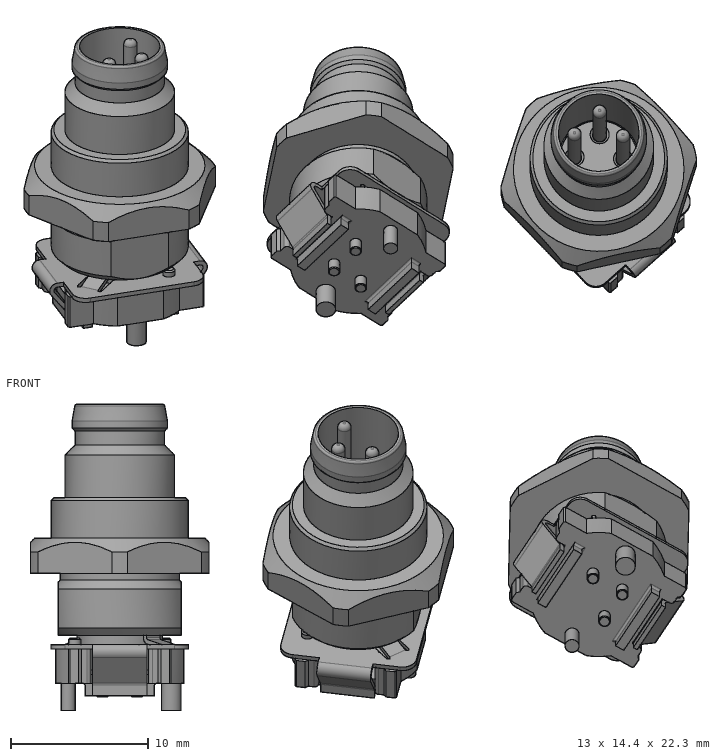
import cadquery as cq
import math

TOTAL_HEIGHT = 22.3
CLEAR = 0.22

RIM_RADIUS = 3.25
RIM_FILLET = 0.18
BARB_RADIUS = 3.48
BARB_TOP_Z = 21.07
BARB_BOTTOM_Z = 20.55
GROOVE_TOP_Z = 20.34
GROOVE_BOTTOM_Z = 19.33
BARREL_RADIUS = 4.0
COLLAR_RADIUS = 5.0
COLLAR_TOP_Z = 15.5
COLLAR_CHAMFER = 0.2
HEX_TOP_Z = 12.55
HEX_BOTTOM_Z = 10.0
HEX_ACROSS_FLATS = 13.0
HEX_CORNER_RADIUS = 7.2
HEX_TOP_RADIUS = 6.2
NECK_RADIUS = 4.35
NECK_BOTTOM_Z = 9.5
TAIL_RADIUS = 5.0
TAIL_CHAMFER_TOP_Z = 6.02
TAIL_BOTTOM_Z = 5.49
TAIL_ACROSS_FLATS = 8.96

SOCKET_RADIUS = 2.92
CARRIER_RADIUS = 3.12
CARRIER_SHOULDER_Z = 13.38
SOCKET_FLOOR_Z = 15.6
FLOOR_CHAMFER = 0.11
TONGUE_BORE_RADIUS = 3.61
TONGUE_BORE_TOP_Z = 6.7

PIN_OFFSET = 1.25
PIN_RADIUS = 0.5
PIN_TIP_Z = 22.05
PIN_TIP_FILLET = 0.4
PIN_SINK_RADIUS = 0.7
PIN_SINK_DEPTH = 0.2
PIN_SINK_LIP = 0.02
TAIL_PIN_RADIUS = 0.42
TAIL_PIN_BOTTOM_Z = 1.0
TAIL_PIN_CHAMFER = 0.07
POST_X = 3.75
SLIM_POST_RADIUS = 0.51
WIDE_POST_RADIUS = 0.71

BASE_BOTTOM_Z = 1.98
BASE_TOP_Z = 4.48
BASE_LENGTH = 10.44
BASE_END_WIDTH = 7.5
BASE_MID_WIDTH = 9.35
BASE_ROUND_RADIUS = 5.0
BASE_CORNER_CHAMFER = 0.11
RECESS_WIDTH = 5.58
RECESS_DEPTH = 0.2
POCKET_WIDTH = 4.2
POCKET_MOUTH_FILLET = 0.3
POCKET_BACK_Y = 4.13
RAMP_START_Z = 2.63
RAMP_DEPTH = 0.9
RAMP_ANGLE = 20.0
FOOT_WIDTH = 5.05
FOOT_INNER_Y = 2.97
FOOT_OUTER_Y = 3.65
FOOT_BOTTOM_Z = 1.07
FOOT_ROOT_FILLET = 0.18
NUB_X = 3.28
NUB_Y = 2.65
NUB_RADIUS = 0.45
NUB_TOP_Z = 5.29
NUB_CHAMFER = 0.11

SHEET = 0.33
PLATE_TOP_Z = BASE_TOP_Z + SHEET
PLATE_SIZE = 10.01
PLATE_CORNER_RADIUS = 1.03
ARM_WIDTH = 3.97
ARM_BEND_Y = 5.49
ARM_BEND_RADIUS = 0.58
ARM_SLOPE = 53.0
ARM_TIP_OUTER_Y = 4.48
ARM_TIP_Z = 1.12
ARM_KNEE_RADIUS = 0.27
TONGUE_WIDTH = 1.38
TONGUE_SLOT = 0.3
TONGUE_ROOT = 5.0
TONGUE_RISE = 0.38
TONGUE_TOP_Z = 6.47
TONGUE_BEND_RADIUS = 0.15
TONGUE_DIRECTIONS = (135.0, -45.0)


def cylinder(radius, bottom, top, x=0.0, y=0.0):
    return cq.Workplane("XY", origin=(x, y, bottom)).circle(radius).extrude(top - bottom)


def block(width, depth, bottom, top, y=0.0):
    return cq.Workplane("XY", origin=(0, y, bottom)).rect(width, depth).extrude(top - bottom)


def both_ends(shape):
    """The shape at the -Y end together with its twin at the +Y end."""
    return shape.union(shape.rotate((0, 0, 0), (0, 0, 1), 180))


def turned_outside():
    outline = [
        (0, NECK_BOTTOM_Z),
        (NECK_RADIUS, NECK_BOTTOM_Z),
        (NECK_RADIUS, HEX_BOTTOM_Z),
        (COLLAR_RADIUS, HEX_BOTTOM_Z),
        (COLLAR_RADIUS, COLLAR_TOP_Z - COLLAR_CHAMFER),
        (COLLAR_RADIUS - COLLAR_CHAMFER, COLLAR_TOP_Z),
        (BARREL_RADIUS, COLLAR_TOP_Z),
        (BARREL_RADIUS, GROOVE_BOTTOM_Z - (BARREL_RADIUS - RIM_RADIUS)),
        (RIM_RADIUS, GROOVE_BOTTOM_Z),
        (RIM_RADIUS, GROOVE_TOP_Z),
        (BARB_RADIUS, BARB_BOTTOM_Z),
        (BARB_RADIUS, BARB_TOP_Z),
        (RIM_RADIUS, TOTAL_HEIGHT),
        (0, TOTAL_HEIGHT),
    ]
    body = cq.Workplane("XZ").polyline(outline).close().revolve(360, (0, 0), (0, 1))
    return body.faces(">Z").edges().fillet(RIM_FILLET)


def hex_flange():
    across_corners = HEX_ACROSS_FLATS / math.cos(math.pi / 6)
    height = HEX_TOP_Z - HEX_BOTTOM_Z
    prism = cq.Workplane("XY", origin=(0, 0, HEX_BOTTOM_Z)).polygon(6, across_corners).extrude(height)
    prism = prism.rotate((0, 0, 0), (0, 0, 1), 30)
    turned = cylinder(HEX_CORNER_RADIUS, HEX_BOTTOM_Z, HEX_TOP_Z)
    turned = turned.faces(">Z").chamfer(HEX_CORNER_RADIUS - HEX_TOP_RADIUS)
    return prism.intersect(turned)


def flatted_tail():
    upper_chamfer = TAIL_RADIUS - NECK_RADIUS
    lower_chamfer = TAIL_CHAMFER_TOP_Z - TAIL_BOTTOM_Z
    tail = cylinder(TAIL_RADIUS, TAIL_BOTTOM_Z, NECK_BOTTOM_Z)
    tail = tail.faces(">Z").chamfer(upper_chamfer).faces("<Z").chamfer(lower_chamfer)
    return tail.intersect(block(TAIL_ACROSS_FLATS, 2 * TAIL_RADIUS, TAIL_BOTTOM_Z, NECK_BOTTOM_Z))


def make_housing():
    body = turned_outside().union(hex_flange()).union(flatted_tail())
    body = body.cut(cylinder(TONGUE_BORE_RADIUS, TAIL_BOTTOM_Z, TONGUE_BORE_TOP_Z))
    body = body.cut(cylinder(CARRIER_RADIUS, TAIL_BOTTOM_Z, CARRIER_SHOULDER_Z))
    return body.cut(cylinder(SOCKET_RADIUS, TAIL_BOTTOM_Z, TOTAL_HEIGHT))


def base_outline():
    ends = block(BASE_END_WIDTH, BASE_LENGTH, BASE_BOTTOM_Z, BASE_TOP_Z)
    ends = ends.edges("|Z").chamfer(BASE_CORNER_CHAMFER)
    middle = cylinder(BASE_ROUND_RADIUS, BASE_BOTTOM_Z, BASE_TOP_Z)
    middle = middle.intersect(block(BASE_MID_WIDTH, BASE_LENGTH, BASE_BOTTOM_Z, BASE_TOP_Z))
    return ends.union(middle)


def end_recess():
    """Shallow recess with 45 degree sides in the -Y end face."""
    face_y = -BASE_LENGTH / 2
    half = RECESS_WIDTH / 2
    outline = [
        (half, face_y + RECESS_DEPTH),
        (half + RECESS_DEPTH + CLEAR, face_y - CLEAR),
        (-half - RECESS_DEPTH - CLEAR, face_y - CLEAR),
        (-half, face_y + RECESS_DEPTH),
    ]
    sketch = cq.Workplane("XY", origin=(0, 0, BASE_BOTTOM_Z)).polyline(outline).close()
    return sketch.extrude(BASE_TOP_Z - BASE_BOTTOM_Z)


def arm_pocket():
    """Pocket behind the recess, open above and below, with a ramp over its back wall."""
    mouth_y = -BASE_LENGTH / 2 + RECESS_DEPTH
    ramp_back_y = -POCKET_BACK_Y + RAMP_DEPTH
    ramp_end_z = RAMP_START_Z + RAMP_DEPTH * math.tan(math.radians(RAMP_ANGLE))
    outline = [
        (mouth_y, BASE_BOTTOM_Z),
        (-POCKET_BACK_Y, BASE_BOTTOM_Z),
        (-POCKET_BACK_Y, RAMP_START_Z),
        (ramp_back_y, ramp_end_z),
        (ramp_back_y, BASE_TOP_Z),
        (mouth_y, BASE_TOP_Z),
    ]
    return cq.Workplane("YZ").polyline(outline).close().extrude(POCKET_WIDTH / 2, both=True)


def round_pocket_mouths(base):
    half = POCKET_WIDTH / 2
    mouth_y = BASE_LENGTH / 2 - RECESS_DEPTH
    for x in (-half, half):
        for y in (-mouth_y, mouth_y):
            middle = (x, y, (BASE_BOTTOM_Z + BASE_TOP_Z) / 2)
            base = base.edges("|Z").edges(cq.selectors.NearestToPointSelector(middle))
            base = base.fillet(POCKET_MOUTH_FILLET)
    return base


def add_feet(base):
    """Foot bar below each end, filleted at its root except along the outer side."""
    depth = FOOT_OUTER_Y - FOOT_INNER_Y
    middle_y = (FOOT_OUTER_Y + FOOT_INNER_Y) / 2
    base = base.union(both_ends(block(FOOT_WIDTH, depth, FOOT_BOTTOM_Z, BASE_BOTTOM_Z, -middle_y)))
    for side in (-1, 1):
        roots = (
            (-FOOT_WIDTH / 2, side * middle_y, BASE_BOTTOM_Z),
            (0, side * FOOT_INNER_Y, BASE_BOTTOM_Z),
            (FOOT_WIDTH / 2, side * middle_y, BASE_BOTTOM_Z),
        )
        edges = [base.edges(cq.selectors.NearestToPointSelector(point)).val() for point in roots]
        base = base.newObject(edges).fillet(FOOT_ROOT_FILLET)
    return base


def make_base():
    base = base_outline().cut(both_ends(end_recess())).cut(both_ends(arm_pocket()))
    return add_feet(round_pocket_mouths(base))


def contact_pin(x, y):
    pin = cylinder(PIN_RADIUS, SOCKET_FLOOR_Z - PIN_SINK_DEPTH, PIN_TIP_Z, x, y)
    return pin.faces(">Z").edges().fillet(PIN_TIP_FILLET)


def pin_countersink(x, y):
    sink = cylinder(PIN_SINK_RADIUS, SOCKET_FLOOR_Z - PIN_SINK_DEPTH, SOCKET_FLOOR_Z, x, y)
    return sink.faces("<Z").chamfer(PIN_SINK_DEPTH - PIN_SINK_LIP)


def tail_pin(x, y):
    pin = cylinder(TAIL_PIN_RADIUS, TAIL_PIN_BOTTOM_Z, BASE_BOTTOM_Z, x, y)
    return pin.faces("<Z").chamfer(TAIL_PIN_CHAMFER)


def nub():
    return cylinder(NUB_RADIUS, BASE_TOP_Z, NUB_TOP_Z, -NUB_X, -NUB_Y).faces(">Z").chamfer(NUB_CHAMFER)


def make_carrier():
    insert = cylinder(SOCKET_RADIUS, CARRIER_SHOULDER_Z, SOCKET_FLOOR_Z).faces(">Z").chamfer(FLOOR_CHAMFER)
    carrier = make_base().union(cylinder(CARRIER_RADIUS, BASE_TOP_Z, CARRIER_SHOULDER_Z)).union(insert)
    carrier = carrier.union(both_ends(nub()))
    for x, y in ((-PIN_OFFSET, PIN_OFFSET), (PIN_OFFSET, PIN_OFFSET), (PIN_OFFSET, -PIN_OFFSET)):
        carrier = carrier.cut(pin_countersink(x, y)).union(contact_pin(x, y)).union(tail_pin(x, y))
    carrier = carrier.union(cylinder(SLIM_POST_RADIUS, 0, BASE_BOTTOM_Z, -POST_X))
    return carrier.union(cylinder(WIDE_POST_RADIUS, 0, BASE_BOTTOM_Z, POST_X))


def flat_plate():
    plate = block(PLATE_SIZE, PLATE_SIZE, BASE_TOP_Z, PLATE_TOP_Z).edges("|Z").fillet(PLATE_CORNER_RADIUS)
    plate = plate.cut(cylinder(CARRIER_RADIUS, BASE_TOP_Z, PLATE_TOP_Z))
    return plate.cut(both_ends(cylinder(NUB_RADIUS, BASE_TOP_Z, PLATE_TOP_Z, -NUB_X, -NUB_Y)))


def spring_arm():
    """Arm at the -Y edge: bent down past vertical, sloping inwards to an upright tip."""
    slope = math.radians(ARM_SLOPE)
    bend_z = PLATE_TOP_Z - ARM_BEND_RADIUS
    inner_radius = ARM_BEND_RADIUS - SHEET
    tip_inner_y = ARM_TIP_OUTER_Y - SHEET

    def on_bend(radius, angle):
        return (-ARM_BEND_Y - radius * math.cos(angle), bend_z + radius * math.sin(angle))

    def slope_z_at(start, y):
        return start[1] - (y - start[0]) * math.tan(slope)

    bend_end = slope - math.pi / 2
    bend_middle = slope / 2
    outer_start = on_bend(ARM_BEND_RADIUS, bend_end)
    inner_start = on_bend(inner_radius, bend_end)
    outer_knee = (-ARM_TIP_OUTER_Y, slope_z_at(outer_start, -ARM_TIP_OUTER_Y))
    inner_knee = (-tip_inner_y, slope_z_at(inner_start, -tip_inner_y))
    profile = (
        cq.Workplane("YZ")
        .moveTo(-PLATE_SIZE / 2, PLATE_TOP_Z)
        .lineTo(-ARM_BEND_Y, PLATE_TOP_Z)
        .threePointArc(on_bend(ARM_BEND_RADIUS, bend_middle), outer_start)
        .lineTo(*outer_knee)
        .lineTo(-ARM_TIP_OUTER_Y, ARM_TIP_Z)
        .lineTo(-tip_inner_y, ARM_TIP_Z)
        .lineTo(*inner_knee)
        .lineTo(*inner_start)
        .threePointArc(on_bend(inner_radius, bend_middle), (-ARM_BEND_Y, BASE_TOP_Z))
        .lineTo(-PLATE_SIZE / 2, BASE_TOP_Z)
        .close()
    )
    arm = profile.extrude(ARM_WIDTH / 2, both=True)
    arm = arm.edges(cq.selectors.NearestToPointSelector((0, *outer_knee))).fillet(ARM_KNEE_RADIUS)
    return arm.edges(cq.selectors.NearestToPointSelector((0, *inner_knee))).fillet(ARM_KNEE_RADIUS + SHEET)


def tongue_window():
    """Opening for one tongue along +X, with a round-ended slot on either side of its root."""
    strip = cq.Workplane("XY", origin=(TONGUE_ROOT / 2, 0, BASE_TOP_Z))
    window = strip.rect(TONGUE_ROOT, TONGUE_WIDTH).extrude(SHEET)
    for side in (-1, 1):
        y = side * (TONGUE_WIDTH + TONGUE_SLOT) / 2
        slot = cq.Workplane("XY", origin=(TONGUE_ROOT / 2, y, BASE_TOP_Z))
        window = window.union(slot.slot2D(TONGUE_ROOT + TONGUE_SLOT, TONGUE_SLOT).extrude(SHEET))
    return window


def tongue():
    """Tongue along +X: rises from its root and turns up along the carrier."""
    outer = CARRIER_RADIUS + SHEET
    rise_per_length = TONGUE_RISE / (TONGUE_ROOT - outer)
    bend_top_z = PLATE_TOP_Z + TONGUE_RISE
    bend_bottom_z = BASE_TOP_Z + rise_per_length * (TONGUE_ROOT - CARRIER_RADIUS)
    outline = [
        (TONGUE_ROOT, BASE_TOP_Z),
        (TONGUE_ROOT, PLATE_TOP_Z),
        (outer, bend_top_z),
        (outer, TONGUE_TOP_Z),
        (CARRIER_RADIUS, TONGUE_TOP_Z),
        (CARRIER_RADIUS, bend_bottom_z),
    ]
    strip = cq.Workplane("XZ").polyline(outline).close().extrude(TONGUE_WIDTH / 2, both=True)
    top_bend = cq.selectors.NearestToPointSelector((outer, 0, bend_top_z))
    strip = strip.edges(top_bend).fillet(TONGUE_BEND_RADIUS)
    bottom_bend = cq.selectors.NearestToPointSelector((CARRIER_RADIUS, 0, bend_bottom_z))
    return strip.edges(bottom_bend).fillet(TONGUE_BEND_RADIUS + SHEET)


def make_shield():
    shield = flat_plate().union(both_ends(spring_arm()))
    for direction in TONGUE_DIRECTIONS:
        shield = shield.cut(tongue_window().rotate((0, 0, 0), (0, 0, 1), direction))
        shield = shield.union(tongue().rotate((0, 0, 0), (0, 0, 1), direction))
    return shield


housing = make_housing()
carrier = make_carrier()
shield = make_shield()

result = cq.Compound.makeCompound([body.solids().val() for body in (housing, carrier, shield)])